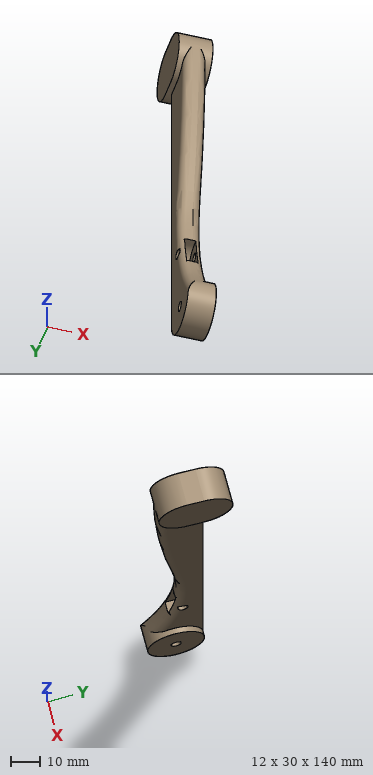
import cadquery as cq
import math

end_diameter = 20.0
end_radius = end_diameter / 2
overall_height = 140.0
arm_width = 8.0
head_width = 12.0
head_centre_spacing = 6.0
head_back_y = end_radius
head_front_y = head_back_y - head_centre_spacing
head_z = overall_height - end_diameter
edge_radius = 3.0
pin_diameter = 3.5
link_pin_y = 3.0
link_pin_z = 27.5
pocket_width = 4.0
pocket_radius = 6.2
pocket_floor_z = 20.9
pocket_step_height = 1.7

front_top_y = head_front_y - end_radius
concave_radius = 74.2
tangency_angle = math.radians(30)
concave_centre_y = -(end_radius + concave_radius) * math.cos(tangency_angle)
concave_centre_z = (end_radius + concave_radius) * math.sin(tangency_angle)
tangency_y = -end_radius * math.cos(tangency_angle)
tangency_z = end_radius * math.sin(tangency_angle)
arc_rise = head_z - concave_centre_z
arc_offset = front_top_y - concave_centre_y
convex_radius = (arc_rise**2 + arc_offset**2 - concave_radius**2) / (2 * (concave_radius - arc_offset))
convex_sweep = math.asin(arc_rise / (convex_radius + concave_radius))
run_on_angle = math.radians(42)
overlap = 1.4


def x_slab(sketch, x_start, x_end):
    """Extrude an outline in the YZ plane between two X positions."""
    return sketch.extrude(x_end - x_start).translate((x_start, 0, 0))


def x_cylinder(y, z, radius, x_start, x_end):
    """Return a cylinder along X."""
    outline = cq.Workplane("YZ").center(y, z).circle(radius)
    return x_slab(outline, x_start, x_end)


def convex_point(angle):
    """Return a front edge point at an angle below the top of the convex arc."""
    return (front_top_y + convex_radius * (1 - math.cos(angle)),
            head_z - convex_radius * math.sin(angle))


def concave_point(angle):
    """Return a front edge point at an angle above the concave centre's +Y direction."""
    return (concave_centre_y + concave_radius * math.cos(angle),
            concave_centre_z + concave_radius * math.sin(angle))


def make_rounded_blank():
    """Return the arm with rounded front edges, whose concave edge runs on past the lower end."""
    convex_middle = convex_point(convex_sweep / 2)
    join = convex_point(convex_sweep)
    concave_middle = concave_point((convex_sweep - run_on_angle) / 2)
    tip = concave_point(-run_on_angle)
    blank_outline = (
        cq.Workplane("YZ")
        .moveTo(front_top_y, head_z)
        .threePointArc(convex_middle, join)
        .threePointArc(concave_middle, tip)
        .lineTo(tip[0], -end_radius - overlap)
        .lineTo(end_radius, -end_radius - overlap)
        .lineTo(end_radius, head_z)
        .close()
    )
    blank = x_slab(blank_outline, -arm_width / 2, arm_width / 2)
    front_edges = []
    for x in (-arm_width / 2, arm_width / 2):
        for y, z in (convex_middle, concave_middle):
            front_edges += blank.edges(cq.selectors.NearestToPointSelector((x, y, z))).vals()
    return blank.newObject(front_edges).fillet(edge_radius)


def make_arm():
    """Return the arm on its round boss; the edge rounding cuts the boss only where X < 0."""
    blank = make_rounded_blank()
    upper_outline = (
        cq.Workplane("YZ")
        .moveTo(end_radius, 0)
        .lineTo(0, 0)
        .lineTo(tangency_y, tangency_z)
        .lineTo(-end_diameter, tangency_z)
        .lineTo(-end_diameter, head_z)
        .lineTo(end_radius, head_z)
        .close()
    )
    upper = blank.intersect(x_slab(upper_outline, -arm_width / 2, arm_width / 2))

    boss = x_cylinder(0, 0, end_radius, -arm_width / 2, head_width / 2)
    cut_size = 2 * (end_radius + overlap)
    cut_outline = cq.Workplane("YZ").center(-cut_size / 2, 0).rect(cut_size, cut_size)
    rounding_waste = x_slab(cut_outline, -arm_width / 2 - overlap, 0).cut(blank)
    return boss.cut(rounding_waste).union(upper)


def make_head():
    """Return the wide head with two rounded ends."""
    outline = (
        cq.Workplane("YZ")
        .center((head_back_y + head_front_y) / 2, head_z)
        .slot2D(head_centre_spacing + end_diameter, end_diameter)
    )
    return x_slab(outline, -head_width / 2, head_width / 2)


def make_pocket():
    """Round pocket about the link pin, open to the front, with a square lower corner."""
    ceiling_z = link_pin_z + pocket_radius
    step_z = pocket_floor_z + pocket_step_height
    wall_y = link_pin_y + math.sqrt(pocket_radius**2 - (link_pin_z - step_z)**2)
    opening_y = link_pin_y - 2 * pocket_radius
    outline = (
        cq.Workplane("YZ")
        .moveTo(opening_y, ceiling_z)
        .lineTo(link_pin_y, ceiling_z)
        .threePointArc((link_pin_y + pocket_radius, link_pin_z), (wall_y, step_z))
        .lineTo(wall_y, pocket_floor_z)
        .lineTo(opening_y, pocket_floor_z)
        .close()
    )
    return x_slab(outline, -pocket_width / 2, pocket_width / 2)


result = make_arm().union(make_head()).cut(make_pocket())
for pin_y, pin_z in ((0, 0), (link_pin_y, link_pin_z)):
    pin_hole = x_cylinder(pin_y, pin_z, pin_diameter / 2, -head_width, head_width)
    result = result.cut(pin_hole)